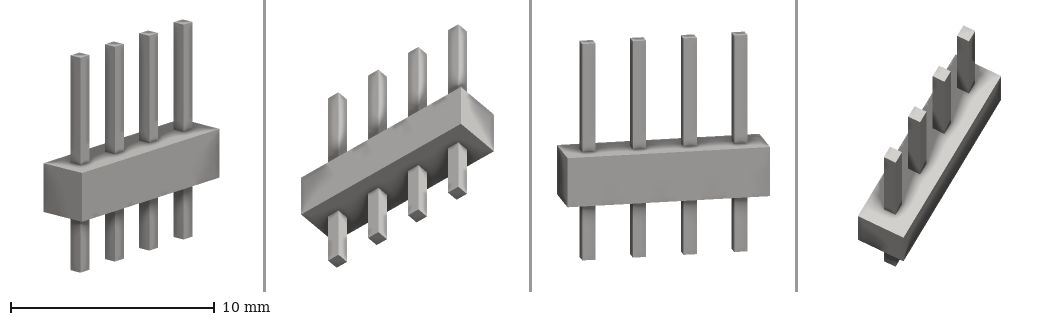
import cadquery as cq

pin_count = 4
pitch = 2.54
housing_height = 2.5
pin_width = 0.66
pin_length = 11.0
tail_length = 3.0


def make_pin(y):
    """Square pin standing at y, with its tail below the housing base at Z = 0."""
    pin = cq.Workplane("XY").box(pin_width, pin_width, pin_length, centered=(True, True, False))
    return pin.translate((0, y, -tail_length))


def make_housing(y):
    """Square housing block at y, with a through hole that fits its pin."""
    block = cq.Workplane("XY").box(pitch, pitch, housing_height, centered=(True, True, False))
    return block.translate((0, y, 0)).cut(make_pin(y))


housings = []
pins = []
for index in range(pin_count):
    row_y = (index - (pin_count - 1) / 2) * pitch
    housings.append(make_housing(row_y).val())
    pins.append(make_pin(row_y).val())

result = cq.Compound.makeCompound([*housings, *pins])